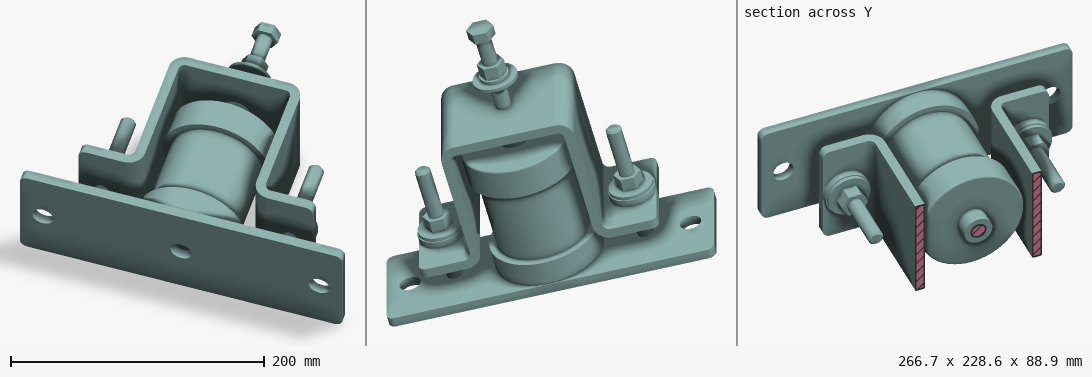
import cadquery as cq
import math


PLATE_LENGTH = 266.7
PLATE_HEIGHT = 88.9
PLATE_THICKNESS = 7.9375
CORNER_RADIUS = 6.35
PLATE_HOLE_DIAMETER = 17.4625
PLATE_HOLE_OFFSET = 114.3

CAP_DIAMETER = 88.9
CAP_EDGE_RADIUS = 1.5875
BODY_DIAMETER = 76.2
LOWER_CAP_TOP = 28.8
UPPER_CAP_BOTTOM = 93.7
UPPER_CAP_TOP = 119.5

SPIGOT_DIAMETER = 23.8125
SPIGOT_TOP = 132.4
COLLAR_DIAMETER = 25.0
COLLAR_BOTTOM = 133.2

BRACKET_THICKNESS = 7.9375
BRACKET_OUTER_WIDTH = 108.0
BRACKET_SPAN = 193.7
BRACKET_TOP = 152.4
BRACKET_BOTTOM = 38.5
WEB_BEND_OUTER_RADIUS = 12.7
WEB_BEND_INNER_RADIUS = WEB_BEND_OUTER_RADIUS - BRACKET_THICKNESS
FLANGE_BEND_INNER_RADIUS = 5.55625
FLANGE_BEND_OUTER_RADIUS = FLANGE_BEND_INNER_RADIUS + BRACKET_THICKNESS
SELECTION_MARGIN = 1.0

HEX_ACROSS_FLATS = 19.05
HEX_ACROSS_CORNERS = HEX_ACROSS_FLATS / math.cos(math.pi / 6)
NUT_HEIGHT = 11.1125

BOLT_DIAMETER = 12.7
BOLT_TOP = 228.6
BOLT_HEAD_HEIGHT = 8.8
BOLT_WASHER_DIAMETER = 36.5
BOLT_WASHER_THICKNESS = 2.8
BOLT_WASHER_BOTTOM = 178.1
SPRING_WASHER_DIAMETER = 23.8125
SPRING_WASHER_THICKNESS = 3.175

STUD_OFFSET = 77.8
STUD_DIAMETER = 12.7
STUD_TOP = 110.1
STUD_CHAMFER = 1.5875
BUSHING_DIAMETER = 38.1
BUSHING_THICKNESS = 5.9
STUD_WASHER_DIAMETER = 36.0
STUD_WASHER_THICKNESS = 3.0


def plane_at(x, y):
    """Workplane facing +Y with its origin at (x, y, 0)."""
    return cq.Workplane(cq.Plane(origin=(x, y, 0), xDir=(1, 0, 0), normal=(0, 1, 0)))


def cylinder(diameter, bottom, top, x=0):
    """Round bar along Y from bottom to top."""
    return plane_at(x, bottom).circle(diameter / 2).extrude(top - bottom)


def hexagon(bottom, height, x=0):
    """Hexagonal prism along Y, starting at bottom."""
    return plane_at(x, bottom).polygon(6, HEX_ACROSS_CORNERS).extrude(height)


def make_base_plate():
    plate = plane_at(0, 0).rect(PLATE_LENGTH, PLATE_HEIGHT).extrude(PLATE_THICKNESS)
    plate = plate.edges("|Y").fillet(CORNER_RADIUS)
    for x in (-PLATE_HOLE_OFFSET, 0, PLATE_HOLE_OFFSET):
        plate = plate.cut(cylinder(PLATE_HOLE_DIAMETER, 0, PLATE_THICKNESS, x))
    return plate


def make_cushion():
    lower_cap = cylinder(CAP_DIAMETER, PLATE_THICKNESS, LOWER_CAP_TOP)
    lower_cap = lower_cap.faces("<Y").edges().fillet(CAP_EDGE_RADIUS)
    body = cylinder(BODY_DIAMETER, LOWER_CAP_TOP, UPPER_CAP_BOTTOM)
    upper_cap = cylinder(CAP_DIAMETER, UPPER_CAP_BOTTOM, UPPER_CAP_TOP)
    upper_cap = upper_cap.faces(">Y").edges().fillet(CAP_EDGE_RADIUS)
    spigot = cylinder(SPIGOT_DIAMETER, UPPER_CAP_TOP, SPIGOT_TOP)
    return lower_cap.union(body).union(upper_cap).union(spigot)


def make_bracket():
    outer_x = BRACKET_OUTER_WIDTH / 2
    inner_x = outer_x - BRACKET_THICKNESS
    end_x = BRACKET_SPAN / 2
    flange_top = BRACKET_BOTTOM + BRACKET_THICKNESS
    web_bottom = BRACKET_TOP - BRACKET_THICKNESS
    outline = [
        (-end_x, BRACKET_BOTTOM),
        (-inner_x, BRACKET_BOTTOM),
        (-inner_x, web_bottom),
        (inner_x, web_bottom),
        (inner_x, BRACKET_BOTTOM),
        (end_x, BRACKET_BOTTOM),
        (end_x, flange_top),
        (outer_x, flange_top),
        (outer_x, BRACKET_TOP),
        (-outer_x, BRACKET_TOP),
        (-outer_x, flange_top),
        (-end_x, flange_top),
    ]
    bracket = cq.Workplane("XY").polyline(outline).close().extrude(PLATE_HEIGHT / 2, both=True)

    def bend_edges(x, y):
        """Both Z-parallel edges at +x and -x, at distance y from the base."""
        low_corner = (-x - SELECTION_MARGIN, y - SELECTION_MARGIN, -PLATE_HEIGHT)
        high_corner = (x + SELECTION_MARGIN, y + SELECTION_MARGIN, PLATE_HEIGHT)
        selector = cq.selectors.BoxSelector(low_corner, high_corner)
        return bracket.edges("|Z").edges(selector)

    bracket = bend_edges(outer_x, BRACKET_TOP).fillet(WEB_BEND_OUTER_RADIUS)
    bracket = bend_edges(inner_x, web_bottom).fillet(WEB_BEND_INNER_RADIUS)
    bracket = bend_edges(inner_x, BRACKET_BOTTOM).fillet(FLANGE_BEND_OUTER_RADIUS)
    bracket = bend_edges(outer_x, flange_top).fillet(FLANGE_BEND_INNER_RADIUS)
    return bracket.edges("|Y").edges("<X or >X").fillet(CORNER_RADIUS)


def make_central_bolt():
    """Bolt with its head at the far end, a jam nut, washers and the collar."""
    shank = cylinder(BOLT_DIAMETER, UPPER_CAP_TOP, BOLT_TOP)
    head = hexagon(BOLT_TOP - BOLT_HEAD_HEIGHT, BOLT_HEAD_HEIGHT)
    collar = cylinder(COLLAR_DIAMETER, COLLAR_BOTTOM, BRACKET_TOP - BRACKET_THICKNESS)
    washer_top = BOLT_WASHER_BOTTOM + BOLT_WASHER_THICKNESS
    washer = cylinder(BOLT_WASHER_DIAMETER, BOLT_WASHER_BOTTOM, washer_top)
    nut_bottom = washer_top + SPRING_WASHER_THICKNESS
    spring_washer = cylinder(SPRING_WASHER_DIAMETER, washer_top, nut_bottom)
    nut = hexagon(nut_bottom, NUT_HEIGHT)
    return shank.union(head).union(collar).union(washer).union(spring_washer).union(nut)


def make_stud(x):
    """Stud from the base plate through a bracket flange, with bushing, washer and nut."""
    stud = cylinder(STUD_DIAMETER, PLATE_THICKNESS, STUD_TOP, x)
    stud = stud.faces(">Y").edges().chamfer(STUD_CHAMFER)
    bushing_bottom = BRACKET_BOTTOM + BRACKET_THICKNESS
    washer_bottom = bushing_bottom + BUSHING_THICKNESS
    nut_bottom = washer_bottom + STUD_WASHER_THICKNESS
    bushing = cylinder(BUSHING_DIAMETER, bushing_bottom, washer_bottom, x)
    washer = cylinder(STUD_WASHER_DIAMETER, washer_bottom, nut_bottom, x)
    nut = hexagon(nut_bottom, NUT_HEIGHT, x)
    return stud.union(bushing).union(washer).union(nut)


result = make_base_plate().union(make_cushion()).union(make_bracket()).union(make_central_bolt())
for stud_x in (-STUD_OFFSET, STUD_OFFSET):
    result = result.union(make_stud(stud_x))